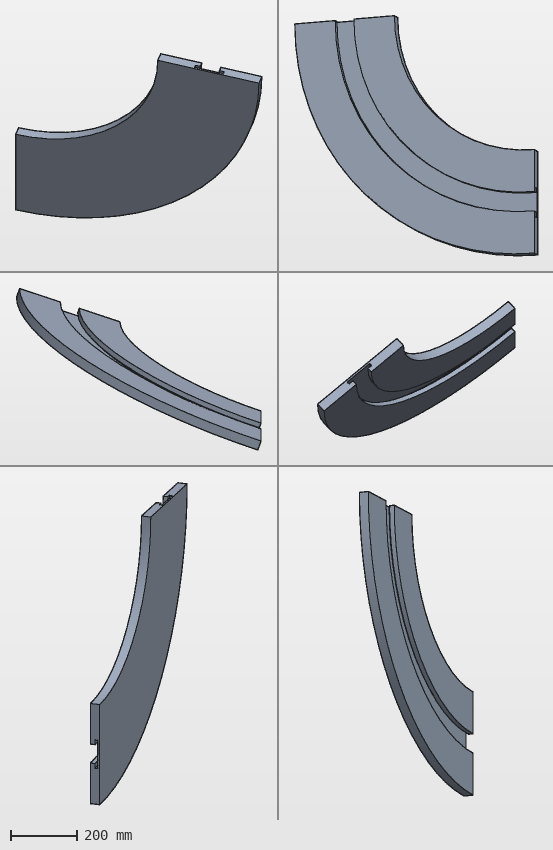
import cadquery as cq

outer_radius = 770.0
plate_width = 320.0
thickness = 30.0
neck_width = 60.0
groove_width = 90.0
neck_depth = 15.5
groove_height = 8.5

inner_radius = outer_radius - plate_width
centre_radius = (outer_radius + inner_radius) / 2
half_thickness = thickness / 2
sweep_angle = 90

bend_axis_x = -outer_radius / 2
bend_axis_z = outer_radius / 2


def quarter_ring(mid_radius, width, y_front, y_back):
    """Rectangular section swept a quarter turn, from the top end to the left end."""
    return (
        cq.Workplane("XY", origin=(bend_axis_x, 0, bend_axis_z))
        .center(mid_radius, (y_front + y_back) / 2)
        .rect(width, y_back - y_front)
        .revolve(sweep_angle, (-mid_radius, 0), (-mid_radius, 1))
    )


plate = quarter_ring(centre_radius, plate_width, -half_thickness, half_thickness)

groove_back = half_thickness - neck_depth
neck = quarter_ring(centre_radius, neck_width, groove_back, half_thickness)
groove = quarter_ring(centre_radius, groove_width, groove_back - groove_height, groove_back)

result = plate.cut(neck).cut(groove)